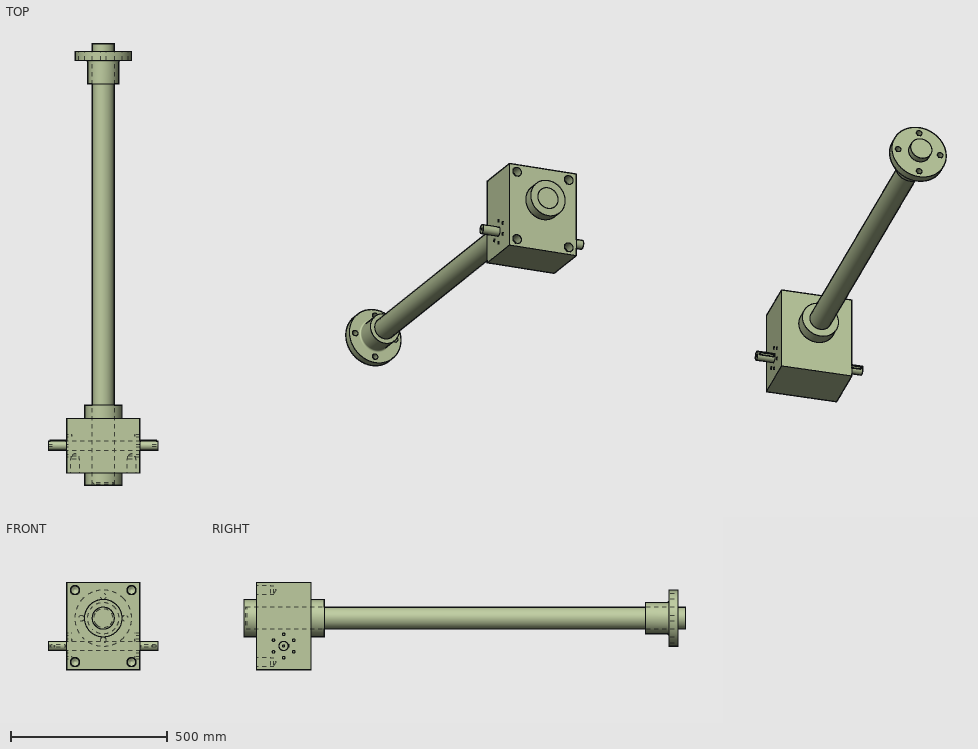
import cadquery as cq
import math


HOUSING_WIDTH = 234.0
HOUSING_DEPTH = 175.0
HOUSING_HEIGHT = 280.0
SCREW_AXIS_TO_TOP = 114.0
COLLAR_DIAMETER = 120.0
FRONT_COLLAR_LENGTH = 40.0
REAR_COLLAR_LENGTH = 42.0
DRILL_POINT_ANGLE = 118.0

MOUNT_DRILL_DIAMETER = 27.0
MOUNT_DRILL_DEPTH = 55.0
MOUNT_THREAD_DIAMETER = 30.0
MOUNT_THREAD_DEPTH = 45.0
MOUNT_SPACING_X = 180.0
MOUNT_SPACING_Z = 230.0

FACE_HOLE_DIAMETER = 8.3
FACE_HOLE_DEPTH = 15.0
FACE_HOLE_COUNT = 6
FACE_HOLE_CIRCLE = 75.0

SHAFT_DIAMETER = 30.0
SHAFT_LENGTH = 350.0
SHAFT_DROP = 89.0
CENTRE_HOLE_DIAMETER = 6.6
CENTRE_HOLE_DEPTH = 18.0
KEY_LENGTH = 50.0
KEY_WIDTH = 8.0
KEY_HEIGHT = 7.0
KEY_PROTRUSION = 3.0
KEY_END_GAP = 5.0

TOTAL_LENGTH = 1411.0
SCREW_DIAMETER = 70.0
SCREW_END_DIAMETER = 60.0
CAP_THICKNESS = 5.0

NUT_DIAMETER = 100.0
NUT_BODY_LENGTH = 75.0
NUT_FLANGE_DIAMETER = 180.0
NUT_FLANGE_THICKNESS = 30.0
NUT_ROOT_FILLET = 5.0
NUT_END_GAP = 24.0
NUT_HOLE_DIAMETER = 18.0
NUT_HOLE_COUNT = 4
NUT_HOLE_CIRCLE = 140.0

HOUSING_FRONT = FRONT_COLLAR_LENGTH
COLLAR_REAR = HOUSING_FRONT + HOUSING_DEPTH + REAR_COLLAR_LENGTH
HOUSING_CENTRE_Y = HOUSING_FRONT + HOUSING_DEPTH / 2
HOUSING_CENTRE_Z = SCREW_AXIS_TO_TOP - HOUSING_HEIGHT / 2
SHAFT_Y = HOUSING_CENTRE_Y
SHAFT_Z = -SHAFT_DROP
SCREW_CHAMFER = (SCREW_DIAMETER - SCREW_END_DIAMETER) / 2
NUT_REAR = TOTAL_LENGTH - NUT_END_GAP
NUT_SHOULDER = NUT_REAR - NUT_FLANGE_THICKNESS
NUT_FRONT = NUT_SHOULDER - NUT_BODY_LENGTH


def rod_along_y(diameter, start_y, end_y, x=0, z=0):
    """Round rod parallel to Y between two Y positions."""
    return cq.Workplane("XZ", origin=(x, start_y, z)).circle(diameter / 2).extrude(start_y - end_y)


def shaft_rod():
    """Plain full-length rod on the drive shaft axis."""
    start = (-SHAFT_LENGTH / 2, SHAFT_Y, SHAFT_Z)
    return cq.Workplane("YZ", origin=start).circle(SHAFT_DIAMETER / 2).extrude(SHAFT_LENGTH)


def drilled_hole(diameter, depth, start, direction):
    """Volume of a blind hole that ends in a conical drill point."""
    start = cq.Vector(*start)
    direction = cq.Vector(*direction)
    radius = diameter / 2
    point_length = radius / math.tan(math.radians(DRILL_POINT_ANGLE / 2))
    bore = cq.Solid.makeCylinder(radius, depth, start, direction)
    point = cq.Solid.makeCone(radius, 0, point_length, start + direction * depth, direction)
    return cq.Workplane(bore.fuse(point))


def circle_places(diameter, count):
    """Evenly spaced points on a circle, the first one on its second axis."""
    angles = [2 * math.pi * i / count for i in range(count)]
    return [(diameter / 2 * math.sin(a), diameter / 2 * math.cos(a)) for a in angles]


def cut_mounting_holes(body):
    for x in (-MOUNT_SPACING_X / 2, MOUNT_SPACING_X / 2):
        for offset_z in (-MOUNT_SPACING_Z / 2, MOUNT_SPACING_Z / 2):
            z = HOUSING_CENTRE_Z + offset_z
            body = body.cut(
                drilled_hole(MOUNT_DRILL_DIAMETER, MOUNT_DRILL_DEPTH, (x, HOUSING_FRONT, z), (0, 1, 0))
            )
            thread_end = HOUSING_FRONT + MOUNT_THREAD_DEPTH
            body = body.cut(rod_along_y(MOUNT_THREAD_DIAMETER, HOUSING_FRONT, thread_end, x, z))
    return body


def cut_face_holes(body):
    for side in (-1, 1):
        for dy, dz in circle_places(FACE_HOLE_CIRCLE, FACE_HOLE_COUNT):
            start = (side * HOUSING_WIDTH / 2, SHAFT_Y + dy, SHAFT_Z + dz)
            body = body.cut(drilled_hole(FACE_HOLE_DIAMETER, FACE_HOLE_DEPTH, start, (-side, 0, 0)))
    return body


def make_housing():
    """Gearbox block with front and rear collars, bored for the screw and the drive shaft."""
    block = cq.Workplane("XY", origin=(0, HOUSING_CENTRE_Y, HOUSING_CENTRE_Z))
    body = block.box(HOUSING_WIDTH, HOUSING_DEPTH, HOUSING_HEIGHT)
    body = body.union(rod_along_y(COLLAR_DIAMETER, 0, COLLAR_REAR))
    body = body.cut(rod_along_y(SCREW_DIAMETER, 0, COLLAR_REAR))
    body = body.cut(shaft_rod())
    body = cut_mounting_holes(body)
    return cut_face_holes(body)


def make_key(side):
    """Round-ended key standing out of the rear (+Y) of one shaft end."""
    centre_x = side * (SHAFT_LENGTH / 2 - KEY_END_GAP - KEY_LENGTH / 2)
    top_y = SHAFT_Y + SHAFT_DIAMETER / 2 + KEY_PROTRUSION
    top_plane = cq.Workplane("XZ", origin=(centre_x, top_y, SHAFT_Z))
    return top_plane.slot2D(KEY_LENGTH, KEY_WIDTH).extrude(KEY_HEIGHT)


def make_drive_shaft():
    """Through shaft with a centre hole and a key at each end."""
    body = shaft_rod()
    for side in (-1, 1):
        end_centre = (side * SHAFT_LENGTH / 2, SHAFT_Y, SHAFT_Z)
        body = body.cut(
            drilled_hole(CENTRE_HOLE_DIAMETER, CENTRE_HOLE_DEPTH, end_centre, (-side, 0, 0))
        )
        body = body.union(make_key(side))
    return body


def make_end_cap():
    """Thin disc that closes the front of the screw bore, flush with the collar."""
    return rod_along_y(SCREW_DIAMETER, 0, CAP_THICKNESS)


def make_screw():
    """Lifting screw, chamfered at its front end behind the cap."""
    return rod_along_y(SCREW_DIAMETER, CAP_THICKNESS, TOTAL_LENGTH).faces("<Y").chamfer(SCREW_CHAMFER)


def make_nut():
    """Flanged travelling nut near the rear end of the screw."""
    profile = (
        cq.Workplane("XY")
        .moveTo(SCREW_DIAMETER / 2, NUT_FRONT)
        .lineTo(NUT_DIAMETER / 2, NUT_FRONT)
        .lineTo(NUT_DIAMETER / 2, NUT_SHOULDER - NUT_ROOT_FILLET)
        .radiusArc((NUT_DIAMETER / 2 + NUT_ROOT_FILLET, NUT_SHOULDER), NUT_ROOT_FILLET)
        .lineTo(NUT_FLANGE_DIAMETER / 2, NUT_SHOULDER)
        .lineTo(NUT_FLANGE_DIAMETER / 2, NUT_REAR)
        .lineTo(SCREW_DIAMETER / 2, NUT_REAR)
        .close()
    )
    body = profile.revolve(360, (0, 0, 0), (0, 1, 0))
    for x, z in circle_places(NUT_HOLE_CIRCLE, NUT_HOLE_COUNT):
        body = body.cut(rod_along_y(NUT_HOLE_DIAMETER, NUT_SHOULDER, NUT_REAR, x, z))
    return body


housing = make_housing()
drive_shaft = make_drive_shaft()
end_cap = make_end_cap()
screw = make_screw()
nut = make_nut()

result = cq.Compound.makeCompound(
    [housing.val(), drive_shaft.val(), end_cap.val(), screw.val(), nut.val()]
)